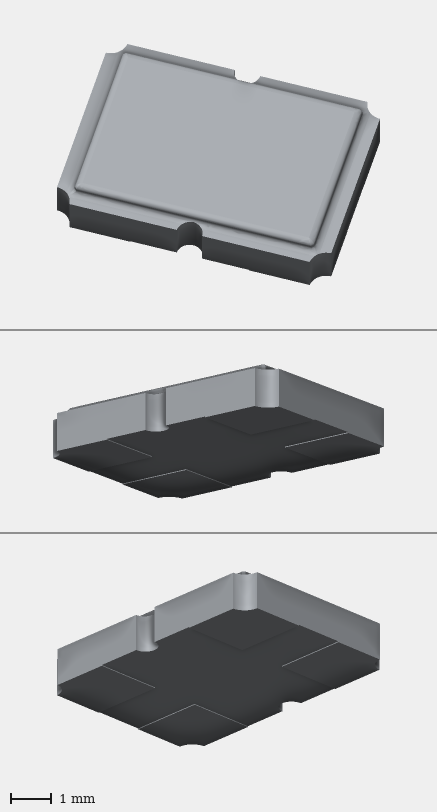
import cadquery as cq
import math

length = 6.98
width = 5.0
height = 1.21

pad_thickness = 0.02
pad_length = 1.97
pad_width = 1.82
base_top = 0.97

corner_notch_radius = 0.43
corner_notch_offset = 0.035
side_notch_radius = 0.32

foot_margin_x = 0.27
foot_margin_y = 0.2
flare_reach = 0.17
flare_height = 0.09
shoulder_reach = 0.17
shoulder_height = 0.1
corner_setback = 0.04

cut_height = 2 * height
foot_half_x = length / 2 - foot_margin_x
foot_half_y = width / 2 - foot_margin_y


def base():
    thickness = base_top - pad_thickness
    return cq.Workplane("XY").workplane(offset=pad_thickness).rect(length, width).extrude(thickness)


def pads():
    spacing_x = length - pad_length
    spacing_y = width - pad_width
    return (
        cq.Workplane("XY")
        .rect(spacing_x, spacing_y, forConstruction=True)
        .vertices()
        .rect(pad_length, pad_width)
        .extrude(pad_thickness)
    )


def quarter_ellipse(center, reach_x, reach_z):
    """Arc from the X end of an ellipse to its Z end; the signs pick the quadrant."""
    center_point = cq.Vector(center[0], 0, center[1])
    long_axis = cq.Vector(math.copysign(1, reach_x), 0, 0)
    turns_to_up = cq.Vector(0, -math.copysign(1, reach_x * reach_z), 0)
    return cq.Edge.makeEllipse(
        abs(reach_x), abs(reach_z), center_point, turns_to_up, long_axis, 0, 90, 1
    )


def lid_prism(foot, band, top, angle):
    """Extrude the lid section, with its width turned by an angle from X.

    The half widths foot, band and top belong to the ledge, the upright band
    and the flat top. The flare and the shoulder are quarter ellipses.
    """
    band_bottom = base_top + flare_height
    band_top = height - shoulder_height
    edges = []
    for side in (-1, 1):
        flare = quarter_ellipse((side * foot, band_bottom), side * (band - foot), -flare_height)
        shoulder = quarter_ellipse((side * top, band_top), side * (band - top), shoulder_height)
        upright = cq.Edge.makeLine(
            cq.Vector(side * band, 0, band_bottom), cq.Vector(side * band, 0, band_top)
        )
        edges += [flare, upright, shoulder]
    for half, z in ((foot, base_top), (top, height)):
        edges.append(cq.Edge.makeLine(cq.Vector(-half, 0, z), cq.Vector(half, 0, z)))
    section = cq.Wire.combine(edges)[0]
    prism = cq.Solid.extrudeLinear(section, [], cq.Vector(0, 2 * length, 0))
    centered = cq.Workplane(prism).translate((0, -length, 0))
    return centered.rotate((0, 0, 0), (0, 0, 1), angle)


def lid():
    def side_prism(foot, angle):
        band = foot - flare_reach
        return lid_prism(foot, band, band - shoulder_reach, angle)

    def diagonal_half(inset):
        return (foot_half_x + foot_half_y - 2 * inset) / math.sqrt(2)

    body = side_prism(foot_half_x, 0).intersect(side_prism(foot_half_y, 90))
    foot = diagonal_half(0)
    band = diagonal_half(flare_reach) - corner_setback
    top = diagonal_half(flare_reach + shoulder_reach)
    for angle in (45, -45):
        body = body.intersect(lid_prism(foot, band, top, angle))
    return body


def notches():
    side_notches = (
        cq.Workplane("XY")
        .pushPoints([(0, -width / 2), (0, width / 2)])
        .circle(side_notch_radius)
        .extrude(cut_height)
    )
    corner_notches = (
        cq.Workplane("XY")
        .rect(length, width + 2 * corner_notch_offset, forConstruction=True)
        .vertices()
        .circle(corner_notch_radius)
        .extrude(cut_height)
    )
    return side_notches.union(corner_notches)


result = base().union(pads()).union(lid()).cut(notches())